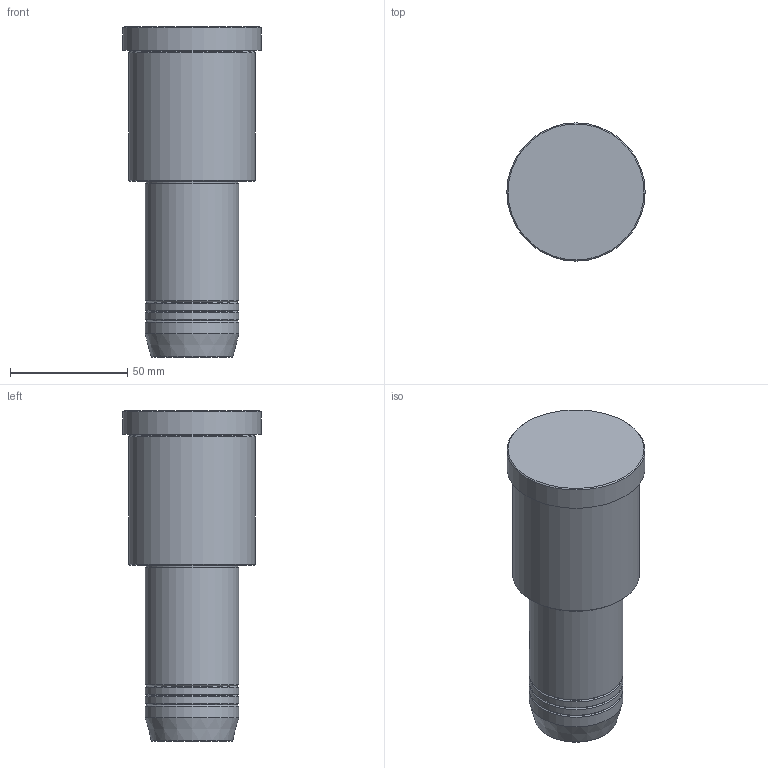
import cadquery as cq
import math

total_height = 141.0
head_height = 10.0
body_base = 75.0
tip_length = 10.0
head_base = total_height - head_height

head_radius = 59.0 / 2
body_radius = 54.0 / 2
shank_radius = 40.0 / 2
tip_taper_angle = 15.0
tip_slope = math.tan(math.radians(tip_taper_angle))

edge_chamfer = 0.5
tip_chamfer = 0.3

relief_width = 1.0
relief_depth = 0.5

groove_count = 3
groove_pitch = 4.0
groove_width = 1.05
groove_depth = 0.5
lowest_groove_base = 15.0


def tip_points():
    """Chamfered end face and the taper up to the shank."""
    end_radius = shank_radius - tip_length * tip_slope
    chamfer_top_radius = end_radius + tip_chamfer * tip_slope
    return [
        (0, 0),
        (chamfer_top_radius - tip_chamfer, 0),
        (chamfer_top_radius, tip_chamfer),
        (shank_radius, tip_length),
    ]


def groove_points(base):
    """One V groove in the shank, starting at the given height."""
    return [
        (shank_radius, base),
        (shank_radius - groove_depth, base + groove_width / 2),
        (shank_radius, base + groove_width),
    ]


def shank_relief_points():
    """Square-shouldered relief where the shank meets the body."""
    relief_radius = shank_radius - relief_depth
    relief_base = body_base - relief_width
    return [
        (shank_radius, relief_base),
        (relief_radius, relief_base),
        (relief_radius, body_base),
    ]


def body_points():
    """Body with a chamfered lower edge and a sloped relief under the head."""
    relief_radius = body_radius - relief_depth
    relief_base = head_base - relief_width
    return [
        (body_radius - edge_chamfer, body_base),
        (body_radius, body_base + edge_chamfer),
        (body_radius, relief_base),
        (relief_radius, relief_base + relief_depth),
        (relief_radius, head_base),
    ]


def head_points():
    """Head with a chamfered upper edge, closing on the axis."""
    return [
        (head_radius, head_base),
        (head_radius, total_height - edge_chamfer),
        (head_radius - edge_chamfer, total_height),
        (0, total_height),
    ]


profile = tip_points()
for index in range(groove_count):
    profile += groove_points(lowest_groove_base + index * groove_pitch)
profile += shank_relief_points()
profile += body_points()
profile += head_points()

result = cq.Workplane("XZ").polyline(profile).close().revolve(360, (0, 0, 0), (0, 1, 0))